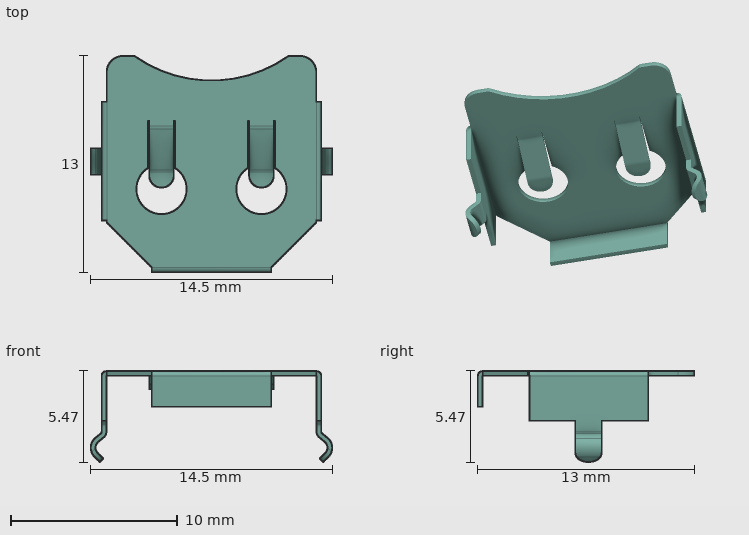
import cadquery as cq
import math


sheet = 0.3
plate_half_width = 6.3
depth = 13.0
rear_corner_radius = 1.0
front_chamfer = 2.7
finger_notch_radius = 8.0
finger_notch_depth = 1.48

front_tab_half_width = plate_half_width - front_chamfer
front_tab_height = 2.15

wing_front = 3.1
wing_length = 7.15
wing_height = 3.0

leg_width = 1.6
leg_centre_y = 6.65
leg_straight_length = 0.65
leg_out_angle = 50.0
leg_out_inner_radius = 0.12
leg_slope_length = 0.45
leg_hook_inner_radius = 0.45
leg_in_angle = 45.0
leg_tip_length = 0.475

contact_x = 3.0
contact_hole_radius = 1.5
contact_hole_y = 5.0
slot_width = 1.6
slot_rear = 9.1
tongue_width = 1.5
tongue_bend_rear = 8.81
tongue_drop = 0.8
tongue_angle = 17.0
tongue_inner_radius = 0.4
tongue_tip_y = 5.08


def heading_vector(heading):
    """Unit vector for a heading in degrees."""
    angle = math.radians(heading)
    return math.cos(angle), math.sin(angle)


def follow_arc(station, radius, turn):
    """Station (x, y, heading) reached by turning; radius and turn share their sign."""
    x, y, heading = station
    from_dx, from_dy = heading_vector(heading)
    to_dx, to_dy = heading_vector(heading + turn)
    return x + radius * (to_dy - from_dy), y + radius * (from_dx - to_dx), heading + turn


def face_point(station, side):
    """Point on a sheet face: side 1 is left of the heading, -1 is right."""
    x, y, heading = station
    dx, dy = heading_vector(heading)
    return x - side * dy * sheet / 2, y + side * dx * sheet / 2


def trace_face(sketch, stations, arc_middles, side):
    """Draw one sheet face through the stations; a missing middle means a straight run."""
    for station, middle in zip(stations, arc_middles):
        end = face_point(station, side)
        if middle is None:
            sketch = sketch.lineTo(*end)
        else:
            sketch = sketch.threePointArc(face_point(middle, side), end)
    return sketch


def strip_profile(plane, start, heading, moves):
    """Closed side profile of a bent strip of sheet.

    start is the middle of the sheet. Each move is (length, 0) for a straight
    run or (inner_radius, turn) for a bend; a positive turn is to the left.
    """
    x, y = start
    stations = [(x, y, heading)]
    arc_middles = []
    for size, turn in moves:
        if turn == 0:
            dx, dy = heading_vector(heading)
            x += size * dx
            y += size * dy
            arc_middles.append(None)
        else:
            radius = math.copysign(size + sheet / 2, turn)
            middle = follow_arc((x, y, heading), radius, turn / 2)
            x, y, heading = follow_arc(middle, radius, turn / 2)
            arc_middles.append(middle)
        stations.append((x, y, heading))

    sketch = cq.Workplane(plane).moveTo(*face_point(stations[0], 1))
    sketch = trace_face(sketch, stations[1:], arc_middles, 1)
    sketch = sketch.lineTo(*face_point(stations[-1], -1))
    sketch = trace_face(sketch, stations[-2::-1], arc_middles[::-1], -1)
    return sketch.close()


def make_plate():
    """Flat top with rear finger notch and chamfered front corners."""
    notch_half_width = math.sqrt(finger_notch_depth * (2 * finger_notch_radius - finger_notch_depth))
    chamfer_rear = sheet + front_chamfer
    return (
        cq.Workplane("XY")
        .moveTo(-front_tab_half_width, sheet)
        .lineTo(front_tab_half_width, sheet)
        .lineTo(plate_half_width, chamfer_rear)
        .lineTo(plate_half_width, depth - rear_corner_radius)
        .radiusArc((plate_half_width - rear_corner_radius, depth), -rear_corner_radius)
        .lineTo(notch_half_width, depth)
        .threePointArc((0, depth - finger_notch_depth), (-notch_half_width, depth))
        .lineTo(rear_corner_radius - plate_half_width, depth)
        .radiusArc((-plate_half_width, depth - rear_corner_radius), -rear_corner_radius)
        .lineTo(-plate_half_width, chamfer_rear)
        .close()
        .extrude(-sheet)
    )


def folded_tab(plane, inner_face, height, length):
    """Flange turned straight down, its outer bend a quarter circle about the inner corner.

    The outer face points along the plane's local x; length is centred on the plane.
    """
    outer_face = inner_face + sheet
    return (
        cq.Workplane(plane)
        .moveTo(inner_face, 0)
        .radiusArc((outer_face, -sheet), sheet)
        .lineTo(outer_face, -height)
        .lineTo(inner_face, -height)
        .close()
        .extrude(length / 2, both=True)
    )


def make_front_tab():
    """Down-turned tab along the front edge."""
    front_plane = cq.Plane(origin=(0, 0, 0), xDir=(0, -1, 0), normal=(-1, 0, 0))
    return folded_tab(front_plane, -sheet, front_tab_height, 2 * front_tab_half_width)


def make_right_wing():
    """Down-turned +X side wall."""
    wing = folded_tab("XZ", plate_half_width, wing_height, wing_length)
    return wing.translate((0, wing_front + wing_length / 2, 0))


def round_end(strip, tip, direction, across, width):
    """Trim the end of a strip to a half circle; direction and across span the sheet."""
    radius = width / 2
    reach = 2 * depth
    end_plane = cq.Plane(origin=tip, xDir=direction, normal=direction.cross(across))
    outline = (
        cq.Workplane(end_plane)
        .moveTo(-reach, radius)
        .lineTo(-radius, radius)
        .threePointArc((0, 0), (-radius, -radius))
        .lineTo(-reach, -radius)
        .close()
        .extrude(reach, both=True)
    )
    return strip.intersect(outline)


def make_right_leg():
    """Hooked solder leg below the +X wing, with a full-round tip."""
    down = -90
    start = (plate_half_width + sheet / 2, -wing_height)
    moves = [
        (leg_straight_length, 0),
        (leg_out_inner_radius, leg_out_angle),
        (leg_slope_length, 0),
        (leg_hook_inner_radius, -leg_out_angle - leg_in_angle),
        (leg_tip_length, 0),
    ]
    leg = strip_profile("XZ", start, down, moves).extrude(leg_width / 2, both=True)
    tip_x, tip_z = heading_vector(down - leg_in_angle)
    tip_direction = cq.Vector(tip_x, 0, tip_z)
    tip = leg.faces(cq.selectors.ParallelDirSelector(tip_direction)).val().Center()
    across = cq.Vector(0, 1, 0)
    leg = round_end(leg, tip, tip_direction, across, leg_width)
    return leg.translate((0, leg_centre_y, 0))


def cut_contact_opening(body, x):
    """Round hole plus the slot that frees the tongue."""
    slot_length = slot_rear - contact_hole_y
    hole = cq.Workplane("XY").center(x, contact_hole_y).circle(contact_hole_radius).extrude(-sheet)
    slot = (
        cq.Workplane("XY")
        .center(x, contact_hole_y + slot_length / 2)
        .rect(slot_width, slot_length)
        .extrude(-sheet)
    )
    return body.cut(hole).cut(slot)


def make_tongue(x):
    """Spring tongue: flat root, downward ramp, flat round-ended tip."""
    angle = math.radians(tongue_angle)
    bend_radius = tongue_inner_radius + sheet / 2
    ramp_length = (tongue_drop - 2 * bend_radius * (1 - math.cos(angle))) / math.sin(angle)
    ramp_run = 2 * bend_radius * math.sin(angle) + ramp_length * math.cos(angle)
    tip_length = tongue_bend_rear - ramp_run - tongue_tip_y
    towards_front = 180
    moves = [
        (slot_rear - tongue_bend_rear, 0),
        (tongue_inner_radius, tongue_angle),
        (ramp_length, 0),
        (tongue_inner_radius, -tongue_angle),
        (tip_length, 0),
    ]
    tongue = strip_profile("YZ", (slot_rear, -sheet / 2), towards_front, moves)
    tongue = tongue.extrude(tongue_width / 2, both=True)
    tip = cq.Vector(0, tongue_tip_y, 0)
    tongue = round_end(tongue, tip, cq.Vector(0, -1, 0), cq.Vector(1, 0, 0), tongue_width)
    return tongue.translate((x, 0, 0))


result = make_plate().union(make_front_tab())
for side_part in (make_right_wing(), make_right_leg()):
    result = result.union(side_part).union(side_part.mirror("YZ"))
for tongue_x in (-contact_x, contact_x):
    result = cut_contact_opening(result, tongue_x).union(make_tongue(tongue_x))